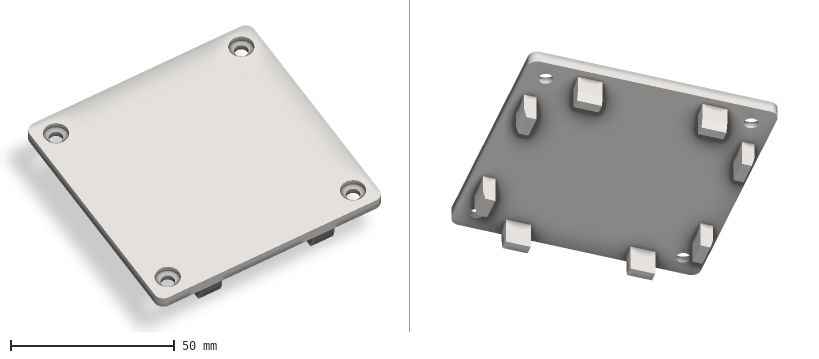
import cadquery as cq

plate_side = 80.0
plate_thickness = 4.0
corner_radius = 3.0

hole_spacing = 66.0
hole_diameter = 4.5
counterbore_diameter = 8.0
counterbore_depth = 2.0

total_height = 13.0
tab_height = total_height - plate_thickness
tab_width = 8.0
tab_thickness = 4.0
tab_inset = 3.0
tab_spacing = 40.0
tab_taper_height = 3.0
tab_taper_depth = 0.8


def make_plate():
    """Rounded square plate with four counterbored holes."""
    return (
        cq.Workplane("XY")
        .box(plate_side, plate_side, plate_thickness, centered=(True, True, False))
        .translate((0, 0, -plate_thickness))
        .edges("|Z")
        .fillet(corner_radius)
        .faces(">Z")
        .workplane(origin=(0, 0, 0))
        .rect(hole_spacing, hole_spacing, forConstruction=True)
        .vertices()
        .cboreHole(hole_diameter, counterbore_diameter, counterbore_depth)
    )


def make_tab(center_x):
    """Tab on the -Y side, its outer face tapering inward towards the tip."""
    outer_y = tab_inset - plate_side / 2
    inner_y = outer_y + tab_thickness
    root_z = -plate_thickness
    tip_z = root_z - tab_height
    profile = [
        (outer_y, root_z),
        (inner_y, root_z),
        (inner_y, tip_z),
        (outer_y + tab_taper_depth, tip_z),
        (outer_y, tip_z + tab_taper_height),
    ]
    return (
        cq.Workplane("YZ", origin=(center_x, 0, 0))
        .polyline(profile)
        .close()
        .extrude(tab_width / 2, both=True)
    )


result = make_plate()
for side_angle in (0, 90, 180, 270):
    for center_x in (-tab_spacing / 2, tab_spacing / 2):
        tab = make_tab(center_x).rotate((0, 0, 0), (0, 0, 1), side_angle)
        result = result.union(tab)